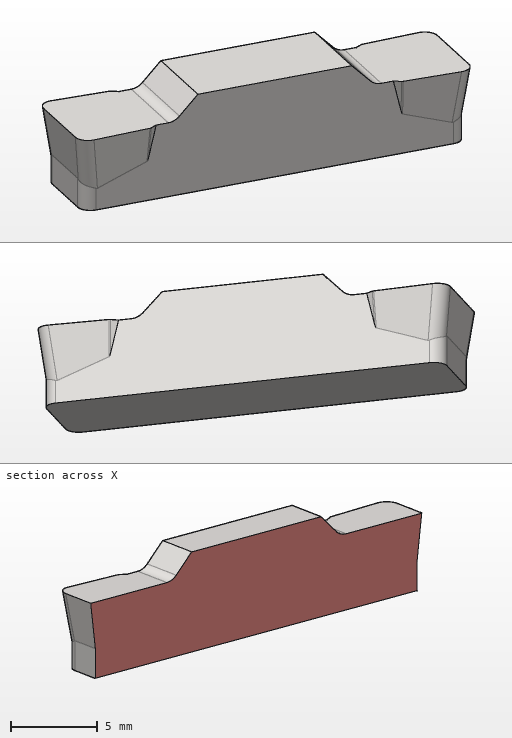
import cadquery as cq
import math


total_length = 24.94
head_width = 6.05
total_height = 6.14

shank_width = 5.2
land_height = 4.68
tip_setback = 0.35
crown_length = 9.74
ramp_angle = 45.0
ramp_blend_radius = 1.0
corner_radius = 0.8

clearance_angle = 7.0
side_relief_angle = 2.5
neck_angle = 30.0
neck_distance = 4.5
neck_blend_radius = 0.2
head_depth = 3.9
root_half_width = 1.5

half_length = total_length / 2


def round_edge_at(solid, point, radius):
    """Fillet the edge whose middle lies nearest to the point."""
    return solid.edges(cq.selectors.NearestToPointSelector(point)).fillet(radius)


def make_shank():
    """Rounded bar with a raised crown joined to the lands by blended ramps."""
    end_y = half_length - tip_setback
    crown_y = crown_length / 2
    ramp_run = (total_height - land_height) / math.tan(math.radians(ramp_angle))
    ramp_foot_y = crown_y + ramp_run
    profile = [
        (-end_y, 0),
        (end_y, 0),
        (end_y, land_height),
        (ramp_foot_y, land_height),
        (crown_y, total_height),
        (-crown_y, total_height),
        (-ramp_foot_y, land_height),
        (-end_y, land_height),
    ]
    shank = cq.Workplane("YZ").polyline(profile).close().extrude(shank_width / 2, both=True)
    shank = shank.edges("|Z").fillet(corner_radius)
    for y_side in (-1, 1):
        ramp_foot = (0, y_side * ramp_foot_y, land_height)
        shank = round_edge_at(shank, ramp_foot, ramp_blend_radius)
    return shank


def make_head():
    """Flared head at the +Y end, drafted inwards below the land."""
    relief = math.radians(side_relief_angle)
    corner_center_x = head_width / 2 - corner_radius
    tip_half_width = corner_center_x + corner_radius * (1 / math.cos(relief) + math.tan(relief))
    neck_half_width = tip_half_width - neck_distance * math.tan(relief)
    neck_y = half_length - neck_distance
    root_run = (neck_half_width - root_half_width) / math.tan(math.radians(neck_angle))
    root_y = neck_y - root_run
    outline = [
        (-tip_half_width, half_length),
        (-neck_half_width, neck_y),
        (-root_half_width, root_y),
        (root_half_width, root_y),
        (neck_half_width, neck_y),
        (tip_half_width, half_length),
    ]
    head = (
        cq.Workplane("XY", origin=(0, 0, land_height))
        .polyline(outline)
        .close()
        .extrude(-head_depth, taper=clearance_angle)
    )

    middle_z = land_height - head_depth / 2
    for x_side in (-1, 1):
        tip_corner = (x_side * tip_half_width, half_length, middle_z)
        neck_corner = (x_side * neck_half_width, neck_y, middle_z)
        head = round_edge_at(head, tip_corner, corner_radius)
        head = round_edge_at(head, neck_corner, neck_blend_radius)
    return head


head = make_head()
result = make_shank().union(head).union(head.mirror("XZ"))